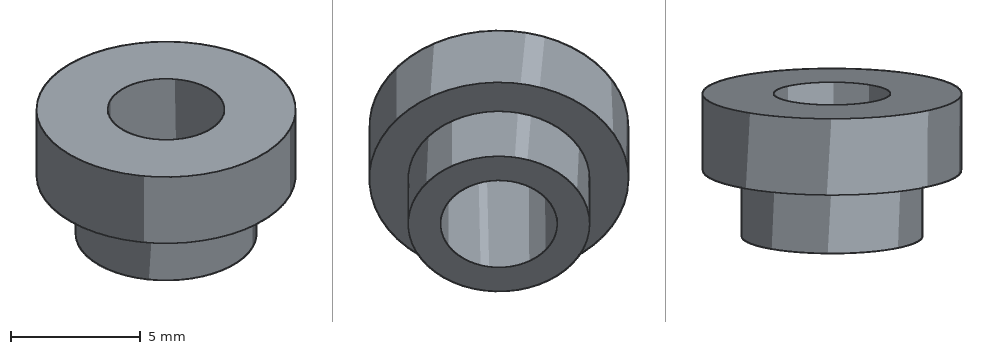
import cadquery as cq

flange_diameter = 10.0
flange_height = 3.0
spigot_diameter = 7.0
spigot_height = 2.6
bore_diameter = 4.5

total_height = flange_height + spigot_height


def cylinder(diameter, height, base_z=0.0):
    """Upright cylinder on the Z axis, standing on base_z."""
    return cq.Workplane("XY").workplane(offset=base_z).circle(diameter / 2).extrude(height)


spigot = cylinder(spigot_diameter, spigot_height)
flange = cylinder(flange_diameter, flange_height, base_z=spigot_height)

bore = cylinder(bore_diameter, total_height)

result = spigot.union(flange).cut(bore)